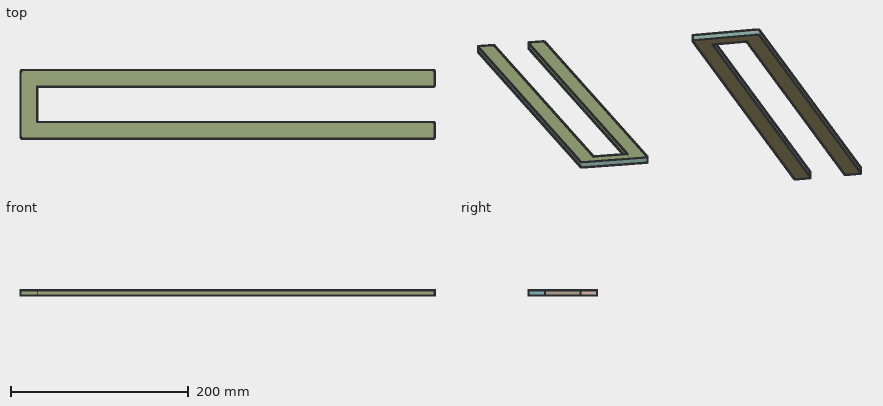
import cadquery as cq

length = 465.84
width = 77.47
thickness = 6.35

bar_width = 19.05
gap = width - 2 * bar_width

corner_radius = 2.54


def make_blank():
    """Full rectangular plate, centred on the origin."""
    return cq.Workplane("XY").box(length, width, thickness)


def make_slot():
    """Open-ended slot that runs from the cross bar through the +X end."""
    slot_length = length - bar_width
    return cq.Workplane("XY").box(slot_length, gap, thickness).translate((bar_width / 2, 0, 0))


def round_outer_corners(body):
    """Round the cross bar's two outer corners and both corners of each arm tip."""
    outer_corners = body.edges("|Z and (<X or >X)")
    return outer_corners.fillet(corner_radius)


result = round_outer_corners(make_blank().cut(make_slot()))